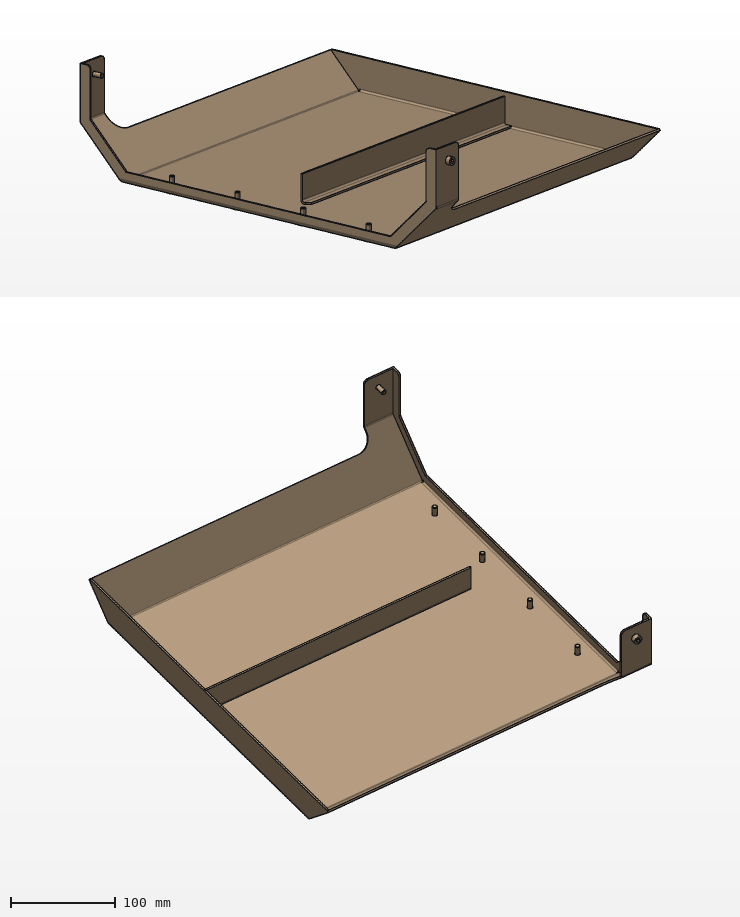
import cadquery as cq
import math

sheet = 2.0
inner_bend = 2.0
outer_bend = inner_bend + sheet

length = 364.0
arm_half_width = 217.0
arm_top = 110.0
arm_bend_height = 51.0
floor_half_width = arm_half_width - arm_bend_height
wall_height = 36.5
arm_depth = 35.0
arm_blend_radius = 17.0
arm_corner_radius = 5.0
flange_width = 12.0
flange_corner_radius = 4.0

divider_x = 10.8
divider_front = 52.0
divider_top = 32.0
divider_foot = 10.0
divider_foot_corner = 4.0

shank_diameter = 5.0
clearance_diameter = 5.5
head_diameter = 8.5
head_length = 5.0
socket_across_flats = 4.0
socket_depth = 2.5
tip_chamfer = 0.5
floor_screw_length = 12.0
arm_screw_length = 12.0
screw_y = 19.0
floor_screw_pitch = 80.0
floor_screw_count = 4
arm_screw_z = 95.0

SLOPE = math.pi / 4
BEND_SETBACK = math.tan(SLOPE / 2)


def section_points(inset):
    """Right half of the tray section, moved inwards by inset, from arm top to floor corner."""
    shift = inset * BEND_SETBACK
    return [
        (arm_half_width - inset, arm_top),
        (arm_half_width - inset, arm_bend_height + shift),
        (floor_half_width - shift, inset),
    ]


def mirrored(points):
    return [(-x, z) for x, z in reversed(points)]


def prism_along_y(points, start, end):
    plane = cq.Plane(origin=(0, start, 0), xDir=(1, 0, 0), normal=(0, -1, 0))
    return cq.Workplane(plane).polyline(points).close().extrude(start - end)


def channel(inset, start, end):
    """Band between the outer section and the section offset by inset."""
    outer = section_points(0)
    inner = section_points(inset)
    outline = outer + mirrored(outer) + list(reversed(mirrored(inner))) + list(reversed(inner))
    return prism_along_y(outline, start, end)


def rounded_at(body, inset, radius):
    """Round the four bend edges of the section at the given inset."""
    for x, z in section_points(inset)[1:]:
        for side in (-1, 1):
            middle = (side * x, length / 2, z)
            body = body.edges(cq.selectors.NearestToPointSelector(middle)).fillet(radius)
    return body


def bent_sheet():
    body = channel(sheet, 0, length)
    body = rounded_at(body, 0, outer_bend)
    return rounded_at(body, sheet, inner_bend)


def side_trim(side):
    """Block that cuts the sheet behind the arm square to the slope, leaving a concave round."""
    edge_z = wall_height - sheet * math.cos(SLOPE)
    oversize = 2 * arm_top
    up_slope = cq.Vector(side * math.cos(SLOPE), 0, math.sin(SLOPE))
    along_y = cq.Vector(0, 1, 0)
    plane = cq.Plane(
        origin=(side * (floor_half_width + edge_z), arm_depth, edge_z),
        xDir=along_y,
        normal=along_y.cross(up_slope),
    )
    block = cq.Workplane(plane).rect(length, oversize, centered=False).extrude(oversize / 2, both=True)
    inner_corner = cq.selectors.NearestToPointSelector(plane.origin.toTuple())
    return block.edges(inner_corner).fillet(arm_blend_radius)


def front_flange():
    flange = channel(flange_width, 0, sheet)
    inner_top = arm_half_width - flange_width
    for side in (-1, 1):
        corner = cq.selectors.NearestToPointSelector((side * inner_top, sheet / 2, arm_top))
        flange = flange.edges(corner).fillet(flange_corner_radius)
    return flange


def back_wall():
    top_half_width = floor_half_width + wall_height - 2 * sheet * math.cos(SLOPE)
    outline = [
        (floor_half_width, 0),
        (top_half_width, wall_height),
        (-top_half_width, wall_height),
        (-floor_half_width, 0),
    ]
    return prism_along_y(outline, length - sheet, length)


def corner_filler(edge_y, inward, offset, radius, half_width):
    """Prism between a square corner and its rounding; the corner is at (edge_y, offset)."""
    y = edge_y + inward * offset
    middle = radius * (1 - math.sqrt(0.5))
    return (
        cq.Workplane("YZ", origin=(-half_width, 0, 0))
        .moveTo(y, offset)
        .lineTo(y + inward * radius, offset)
        .threePointArc((y + inward * middle, offset + middle), (y, offset + radius))
        .close()
        .extrude(2 * half_width)
    )


def divider():
    back = length - sheet
    run = back - divider_front
    web = cq.Workplane("XY").box(sheet, run, divider_top - sheet, centered=False)
    foot = (
        cq.Workplane("XY").box(divider_foot, run, sheet, centered=False)
        .edges("|Z and >X and <Y").chamfer(divider_foot_corner)
    )
    body = web.union(foot)
    inner_corner = cq.selectors.NearestToPointSelector((sheet, run / 2, sheet))
    body = body.edges(inner_corner).fillet(inner_bend)
    body = body.edges("|Y and <X and <Z").fillet(outer_bend)
    return body.translate((divider_x, divider_front, sheet))


def add_screw(body, point, inward, screw_length):
    """Drill the clearance hole at point on the outer face and fit the screw in it."""
    face = cq.Workplane(cq.Plane(origin=point, normal=inward))
    hole = face.circle(clearance_diameter / 2).extrude(sheet)
    shank = face.circle(shank_diameter / 2).extrude(screw_length)
    shank = shank.edges(cq.selectors.DirectionMinMaxSelector(cq.Vector(inward))).chamfer(tip_chamfer)
    head = face.circle(head_diameter / 2).extrude(-head_length)
    socket_corners = socket_across_flats / math.cos(math.pi / 6)
    socket = face.workplane(offset=-head_length).polygon(6, socket_corners).extrude(socket_depth)
    return body.cut(hole).union(shank.union(head).cut(socket))


def build():
    body = bent_sheet()
    for side in (-1, 1):
        body = body.cut(side_trim(side))
        back_corner = cq.selectors.NearestToPointSelector(
            (side * (arm_half_width - sheet / 2), arm_depth, arm_top))
        body = body.edges(back_corner).fillet(arm_corner_radius)
    body = body.union(front_flange()).union(back_wall())
    for edge_y, inward in ((0, 1), (length, -1)):
        body = body.union(corner_filler(edge_y, inward, sheet, inner_bend, floor_half_width - sheet))
        body = body.cut(corner_filler(edge_y, inward, 0, outer_bend, arm_half_width))
    body = body.union(divider())
    for index in range(floor_screw_count):
        x = (index - (floor_screw_count - 1) / 2) * floor_screw_pitch
        body = add_screw(body, (x, screw_y, 0), (0, 0, 1), floor_screw_length)
    for side in (-1, 1):
        head_seat = (side * arm_half_width, screw_y, arm_screw_z)
        body = add_screw(body, head_seat, (-side, 0, 0), arm_screw_length)
    return body


result = build()